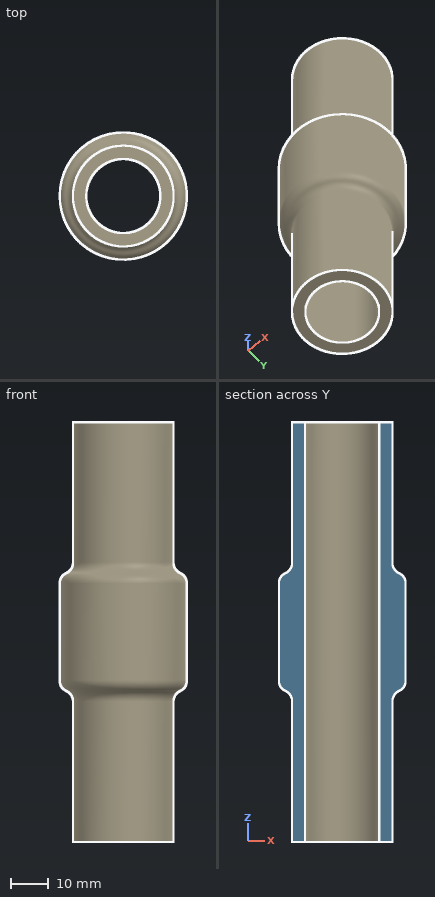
import cadquery as cq
import math

LENGTH = 112.0
PIPE_DIAMETER = 26.9
WALL_THICKNESS = 3.6
COLLAR_DIAMETER = 34.0
COLLAR_STRAIGHT_LENGTH = 26.0
SHOULDER_RADIUS = 3.0

pipe_radius = PIPE_DIAMETER / 2
bore_radius = pipe_radius - WALL_THICKNESS
collar_radius = COLLAR_DIAMETER / 2
shoulder_mid_radius = (pipe_radius + collar_radius) / 2

arc_rise = collar_radius - shoulder_mid_radius
arc_angle = math.acos(1 - arc_rise / SHOULDER_RADIUS)
arc_length_z = SHOULDER_RADIUS * math.sin(arc_angle)

end_z = LENGTH / 2
collar_edge_z = COLLAR_STRAIGHT_LENGTH / 2
shoulder_mid_z = collar_edge_z + arc_length_z
pipe_edge_z = shoulder_mid_z + arc_length_z


def make_body():
    """Revolved pipe with a thicker central collar and an S-shaped shoulder at each side."""
    profile = (
        cq.Workplane("XZ")
        .moveTo(-bore_radius, -end_z)
        .lineTo(-pipe_radius, -end_z)
        .lineTo(-pipe_radius, -pipe_edge_z)
        .tangentArcPoint((-shoulder_mid_radius, -shoulder_mid_z), relative=False)
        .tangentArcPoint((-collar_radius, -collar_edge_z), relative=False)
        .lineTo(-collar_radius, collar_edge_z)
        .tangentArcPoint((-shoulder_mid_radius, shoulder_mid_z), relative=False)
        .tangentArcPoint((-pipe_radius, pipe_edge_z), relative=False)
        .lineTo(-pipe_radius, end_z)
        .lineTo(-bore_radius, end_z)
        .close()
    )
    return profile.revolve(360, (0, 0, 0), (0, 1, 0))


result = make_body()